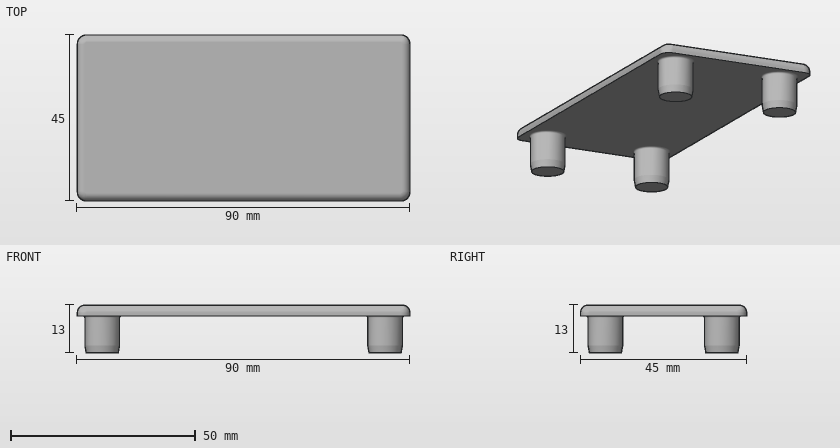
import cadquery as cq

plate_length = 90.0
plate_width = 45.0
plate_thickness = 3.0
corner_radius = 2.5
top_edge_radius = 2.1

total_height = 13.0
foot_diameter = 9.45
foot_inset = 6.75
root_fillet = 0.495
tip_taper_height = 2.0
tip_taper_inset = 0.4

foot_height = total_height - plate_thickness
foot_radius = foot_diameter / 2
foot_x = plate_length / 2 - foot_inset
foot_y = plate_width / 2 - foot_inset


def make_plate():
    """Rounded plate resting on Z = 0, with its top edge rounded over."""
    plate = cq.Workplane("XY").box(
        plate_length, plate_width, plate_thickness, centered=(True, True, False)
    )
    plate = plate.edges("|Z").fillet(corner_radius)
    return plate.faces(">Z").edges().fillet(top_edge_radius)


def make_foot():
    """Round foot hanging below Z = 0, flared at the root and tapered at the tip."""
    profile = (
        cq.Workplane("XZ")
        .lineTo(foot_radius + root_fillet, 0)
        .radiusArc((foot_radius, -root_fillet), -root_fillet)
        .lineTo(foot_radius, tip_taper_height - foot_height)
        .lineTo(foot_radius - tip_taper_inset, -foot_height)
        .lineTo(0, -foot_height)
        .close()
    )
    return profile.revolve(360, (0, 0, 0), (0, 1, 0))


result = make_plate()
foot = make_foot()
for x in (-foot_x, foot_x):
    for y in (-foot_y, foot_y):
        result = result.union(foot.translate((x, y, 0)))